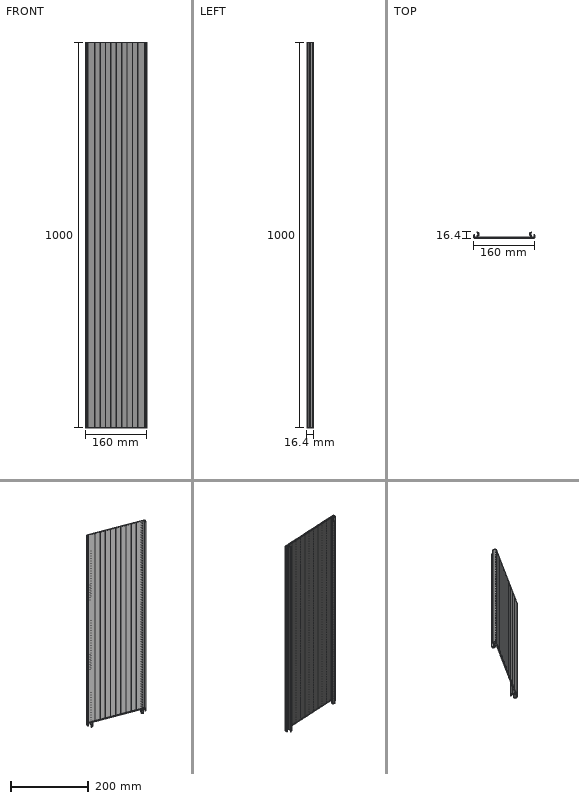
import cadquery as cq

length = 1000.0
width = 160.0
half_width = width / 2

plate_thickness = 3.0
edge_radius = 4.0

wall_thickness = 3.0
wall_height = 10.0
wall_chamfer = 2.0

hook_rise = 6.4
hook_top = wall_height + hook_rise
hook_thickness = 3.0
stem_offset = 9.0
shoulder_height = 7.5
lean = 2.7
barb_drop = 2.5
barb_lip = 1.0
barb_undercut = 0.2
neck_top = 12.0

groove_count = 9
groove_pitch = 14.0
edge_groove_offset = 6.0
groove_width = 0.8
groove_depth = 0.3


def slab(x_min, x_max, y_min, y_max):
    """Full-length bar with a rectangular section."""
    return (
        cq.Workplane("XY")
        .center((x_min + x_max) / 2, (y_min + y_max) / 2)
        .rect(x_max - x_min, y_max - y_min)
        .extrude(length)
    )


def bar(points):
    """Full-length bar with a polygonal section."""
    return cq.Workplane("XY").polyline(points).close().extrude(length)


def tray():
    """Plate with two side walls, rounded below and bevelled above."""
    body = slab(-half_width, half_width, 0, wall_height)
    body = body.edges("|Z and <Y").fillet(edge_radius)
    body = body.edges("|Z and >Y").chamfer(wall_chamfer)
    inner_half = half_width - wall_thickness
    return body.cut(slab(-inner_half, inner_half, plate_thickness, wall_height))


def left_hook():
    """Snap hook: a stem leaning inward to a neck that carries an outward barb."""
    root = plate_thickness / 2
    stem_outer = -half_width + stem_offset
    stem_inner = stem_outer + hook_thickness
    neck_outer = stem_outer + lean
    neck_inner = stem_inner + lean
    return bar([
        (stem_outer, root),
        (stem_outer, shoulder_height),
        (neck_outer, shoulder_height + lean),
        (neck_outer, neck_top),
        (stem_outer + barb_undercut, hook_top - barb_lip),
        (stem_outer, hook_top),
        (neck_inner, hook_top - barb_drop),
        (neck_inner, shoulder_height + lean - hook_thickness / 2),
        (stem_inner, shoulder_height - hook_thickness / 2),
        (stem_inner, root),
    ])


def groove(x):
    """Score line centred at x."""
    half_groove = groove_width / 2
    return bar([(x - half_groove, 0), (x + half_groove, 0), (x, groove_depth)])


hook = left_hook()
result = tray().union(hook).union(hook.mirror("YZ"))

first_groove_x = -(groove_count - 1) / 2 * groove_pitch
edge_groove_x = half_width - edge_groove_offset
groove_positions = [first_groove_x + i * groove_pitch for i in range(groove_count)]
groove_positions += [-edge_groove_x, edge_groove_x]
for groove_x in groove_positions:
    result = result.cut(groove(groove_x))